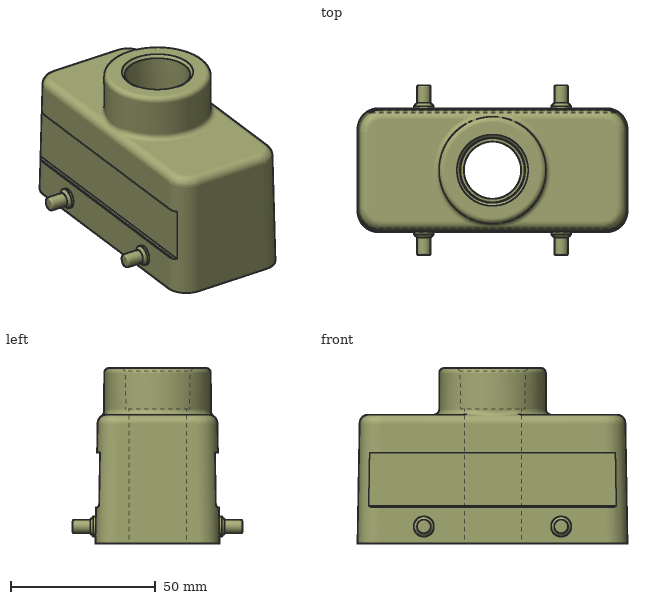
import cadquery as cq
import math

body_length = 93.5
body_width = 43.0
body_height = 44.6
draft_angle = 1.0
corner_radius = 7.5
top_edge_radius = 3.1

total_height = 60.8
boss_diameter = 37.0
boss_edge_radius = 1.9
boss_root_radius = 1.9

bore_diameter = 22.6
bore_chamfer = 1.0
bore_depth = 14.1
through_diameter = 19.7

recess_bottom = 12.5
recess_top = 31.4
recess_depth = 1.0
recess_chamfer = 0.6

pin_diameter = 4.8
pin_tip_radius = 0.7
pin_span = 58.8
pin_spacing = 47.5
pin_height = 5.9
collar_diameter = 7.0
collar_span = 44.4

draft_slope = math.tan(math.radians(draft_angle))


def side_y(z):
    """Half width of the drafted body at height z."""
    return body_width / 2 - draft_slope * z


def make_body():
    block = cq.Workplane("XY").rect(body_length, body_width).extrude(body_height, taper=draft_angle)
    upright_edges = block.edges("not(#Z)")
    return upright_edges.fillet(corner_radius).faces(">Z").edges().fillet(top_edge_radius)


def add_boss(body):
    boss = cq.Workplane("XY").circle(boss_diameter / 2).extrude(total_height)
    boss = boss.faces(">Z").edges().fillet(boss_edge_radius)
    joined = body.union(boss)
    reach = boss_diameter / 2 + boss_root_radius
    root_zone = cq.selectors.BoxSelector(
        (-reach, -reach, body_height - top_edge_radius),
        (reach, reach, body_height + boss_root_radius),
    )
    root_edges = joined.edges(root_zone).edges("not(|X)")
    return root_edges.fillet(boss_root_radius)


def make_bore():
    """Drafted entry with a chamfered mouth, a ledge, and a plain hole down through the body."""
    mouth_radius = bore_diameter / 2
    ledge_z = total_height - bore_depth
    ledge_radius = mouth_radius - draft_slope * (bore_depth - bore_chamfer)
    profile = [
        (0, 0),
        (through_diameter / 2, 0),
        (through_diameter / 2, ledge_z),
        (ledge_radius, ledge_z),
        (mouth_radius, total_height - bore_chamfer),
        (mouth_radius + bore_chamfer, total_height),
        (0, total_height),
    ]
    return cq.Workplane("XZ").polyline(profile).close().revolve(360, (0, 0, 0), (0, 1, 0))


def make_recess():
    """Cutter for the recess in the -Y side, with a sloped inner corner along its bottom."""
    outside_y = -body_width
    face_start = recess_bottom + recess_chamfer
    profile = [
        (outside_y, recess_bottom),
        (recess_depth - side_y(face_start) - recess_chamfer, recess_bottom),
        (recess_depth - side_y(face_start), face_start),
        (recess_depth - side_y(recess_top), recess_top),
        (outside_y, recess_top),
    ]
    return cq.Workplane("YZ").polyline(profile).close().extrude(body_length / 2, both=True)


def make_pin(x):
    """Pin standing out of both wide sides, with a coned collar where it leaves each side."""
    pin_radius = pin_diameter / 2
    collar_radius = collar_diameter / 2
    collar_end = collar_span / 2
    cone_end = collar_end + collar_radius - pin_radius
    profile = [
        (0, 0),
        (collar_radius, 0),
        (collar_radius, collar_end),
        (pin_radius, cone_end),
        (pin_radius, pin_span / 2),
        (0, pin_span / 2),
    ]
    half = cq.Workplane("XY").polyline(profile).close().revolve(360, (0, 0, 0), (0, 1, 0))
    half = half.faces(">Y").edges().fillet(pin_tip_radius)
    return half.union(half.mirror("XZ")).translate((x, 0, pin_height))


hood = add_boss(make_body())

recess = make_recess()
hood = hood.cut(recess).cut(recess.mirror("XZ"))

for pin_x in (-pin_spacing / 2, pin_spacing / 2):
    hood = hood.union(make_pin(pin_x))

result = hood.cut(make_bore())